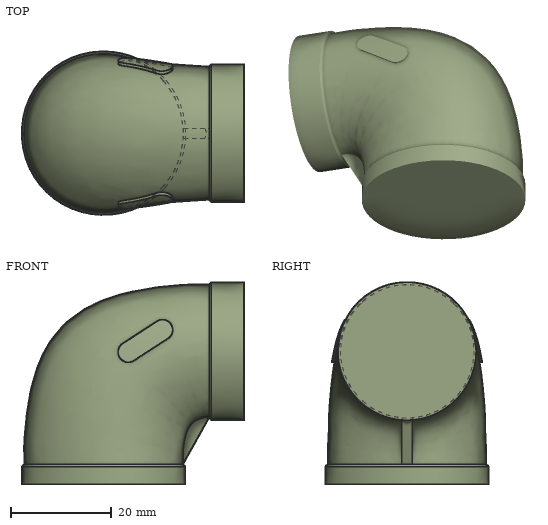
import cadquery as cq
import math

inlet_diameter = 32.6
outlet_diameter = 27.5
overall_length = 44.3
outlet_face_x = overall_length - inlet_diameter / 2
overall_height = 40.25
outlet_axis_z = overall_height - outlet_diameter / 2
inlet_collar_length = 4.0
outlet_collar_length = 7.0
collar_chamfer = 0.5

inlet_body_radius = inlet_diameter / 2 - collar_chamfer
outlet_body_radius = outlet_diameter / 2 - collar_chamfer
body_start_z = inlet_collar_length
body_end_x = outlet_face_x - outlet_collar_length
body_flare = 0.9
inlet_fullness = 0.69
outlet_fullness = 0.8
section_count = 7

gusset_thickness = 2.0

badge_center_x = 8.35
badge_center_z = 28.55
badge_length = 12.2
badge_width = 4.08
badge_angle = 33
badge_relief = 0.55


def ease(start, control_start, control_end, end, t):
    """Cubic Bezier value at t."""
    s = 1 - t
    return s**3 * start + 3 * s**2 * t * control_start + 3 * s * t**2 * control_end + t**3 * end


def bend_point(start, end, t):
    """Point at t on a curve that leaves start along +Z and reaches end along +X."""
    handle_z = start[1] + inlet_fullness * (end[1] - start[1])
    handle_x = end[0] - outlet_fullness * (end[0] - start[0])
    return (
        ease(start[0], start[0], handle_x, end[0], t),
        ease(start[1], handle_z, end[1], end[1], t),
    )


def section(t, growth):
    """Elliptical wire across the bend, spanning from its back to its throat."""
    back_x, back_z = bend_point(
        (-inlet_body_radius, body_start_z), (body_end_x, outlet_axis_z + outlet_body_radius), t
    )
    throat_x, throat_z = bend_point(
        (inlet_body_radius, body_start_z), (body_end_x, outlet_axis_z - outlet_body_radius), t
    )
    span_x = throat_x - back_x
    span_z = throat_z - back_z
    half_width = ease(
        inlet_body_radius, inlet_body_radius, outlet_body_radius + body_flare, outlet_body_radius, t
    )
    plane = cq.Plane(
        origin=((back_x + throat_x) / 2, 0, (back_z + throat_z) / 2),
        xDir=(span_x, 0, span_z),
        normal=(-span_z, 0, span_x),
    )
    half_span = math.hypot(span_x, span_z) / 2
    outline = cq.Workplane(plane).ellipse(half_span + growth, half_width + growth)
    return outline.wire().val()


def bend_body(growth=0.0):
    """Bend whose surface lies outside the nominal one by growth."""
    sections = [section(i / (section_count - 1), growth) for i in range(section_count)]
    return cq.Workplane(cq.Solid.makeLoft(sections))


def collar(plane, diameter, length, inner_face):
    """Cylindrical end collar with the rim of its inner face chamfered."""
    ring = cq.Workplane(plane).circle(diameter / 2).extrude(length)
    return ring.faces(inner_face).chamfer(collar_chamfer)


def gusset():
    """Flat triangular web whose free edge joins the two ends of the throat."""
    throat_top_z = outlet_axis_z - outlet_body_radius
    outline = [
        (inlet_body_radius, body_start_z),
        (body_end_x, throat_top_z),
        (body_end_x - inlet_body_radius, throat_top_z),
        (0, body_start_z),
    ]
    return cq.Workplane("XZ").polyline(outline).close().extrude(gusset_thickness / 2, both=True)


def badges():
    """Both badges: an obround running through in Y, trimmed to the raised surface."""
    bar = (
        cq.Workplane("XZ", origin=(badge_center_x, 0, badge_center_z))
        .transformed(rotate=(0, 0, badge_angle))
        .slot2D(badge_length, badge_width)
        .extrude(inlet_diameter / 2, both=True)
    )
    return bar.intersect(bend_body(badge_relief))


inlet_plane = cq.Plane.XY()
outlet_plane = cq.Plane.YZ(origin=(body_end_x, 0, outlet_axis_z))
inlet_collar = collar(inlet_plane, inlet_diameter, inlet_collar_length, ">Z")
outlet_collar = collar(outlet_plane, outlet_diameter, outlet_collar_length, "<X")

result = bend_body().union(inlet_collar).union(outlet_collar).union(gusset()).union(badges())